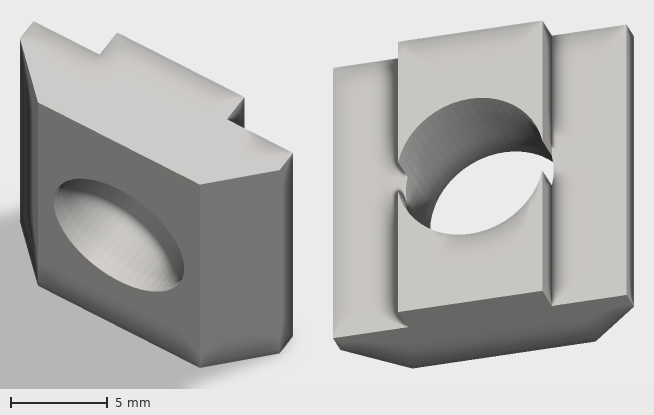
import cadquery as cq

width = 15.9
depth = 6.0
height = 16.0

tongue_width = 7.8
tongue_depth = 1.7
bevel = 3.0

hole_diameter = 8.0

half_width = width / 2
half_tongue = tongue_width / 2
front_half_width = half_width - bevel
front_y = -depth / 2
back_y = depth / 2
shoulder_y = back_y - tongue_depth
bevel_end_y = front_y + bevel

body = (
    cq.Workplane("XY")
    .polyline([
        (-front_half_width, front_y),
        (front_half_width, front_y),
        (half_width, bevel_end_y),
        (half_width, shoulder_y),
        (half_tongue, shoulder_y),
        (half_tongue, back_y),
        (-half_tongue, back_y),
        (-half_tongue, shoulder_y),
        (-half_width, shoulder_y),
        (-half_width, bevel_end_y),
    ])
    .close()
    .extrude(height / 2, both=True)
)

hole = cq.Workplane("XZ", origin=(0, back_y, 0)).circle(hole_diameter / 2).extrude(depth)

result = body.cut(hole)